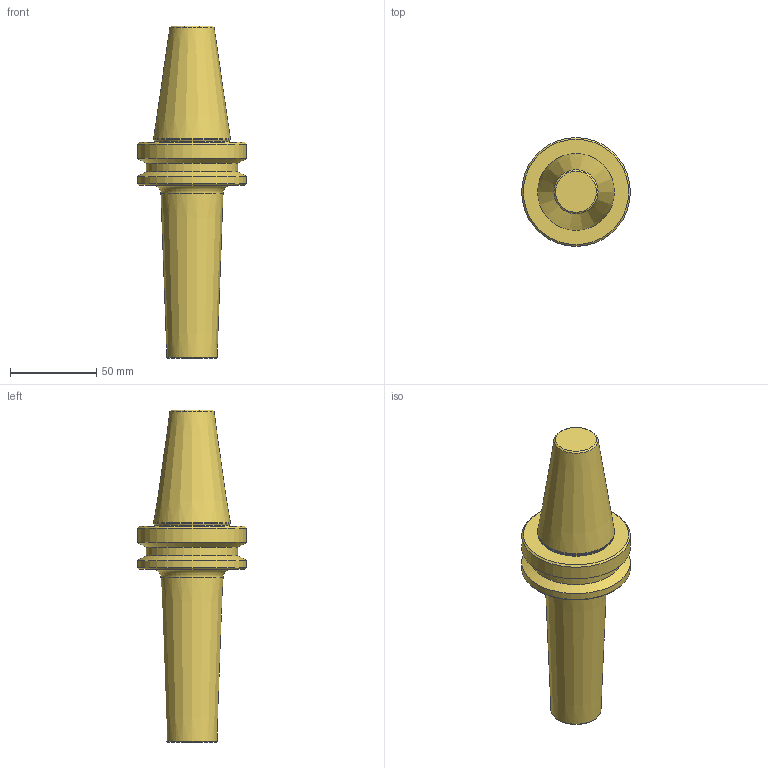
import cadquery as cq
import math


gauge_diameter = 44.45
taper_length = 65.4
taper_ratio = 7 / 24
taper_end_chamfer = 0.8

undercut_depth = 0.4
undercut_slope_height = 0.8
gauge_land_height = 0.6

flange_diameter = 63.0
flange_top_z = -2.0
flange_bottom_z = -27.0
flange_chamfer = 1.0
groove_center_z = -16.6
groove_floor_diameter = 53.0
groove_floor_width = 4.7
groove_wall_angle = 30.0

shank_bottom_z = -127.0
shank_top_diameter = 36.0
shank_bottom_diameter = 29.0
shank_fillet_radius = 4.6
shank_end_chamfer = 0.5


def revolve_profile(profile):
    """Revolve a closed profile drawn in the XZ plane about the Z axis."""
    return profile.close().revolve(360, (0, 0, 0), (0, 1, 0))


def make_taper():
    """Spindle taper, chamfered at its small end, with a land and undercut neck below."""
    gauge_radius = gauge_diameter / 2
    neck_radius = gauge_radius - undercut_depth
    end_radius = gauge_radius - taper_length * taper_ratio / 2
    profile = (
        cq.Workplane("XZ")
        .moveTo(0, flange_top_z)
        .lineTo(neck_radius, flange_top_z)
        .lineTo(neck_radius, -gauge_land_height - undercut_slope_height)
        .lineTo(gauge_radius, -gauge_land_height)
        .lineTo(gauge_radius, 0)
        .lineTo(end_radius, taper_length)
        .lineTo(0, taper_length)
    )
    return revolve_profile(profile).faces(">Z").chamfer(taper_end_chamfer)


def make_flange():
    """Flange disc with chamfered rims and the V groove."""
    height = flange_top_z - flange_bottom_z
    disc = (
        cq.Workplane("XY", origin=(0, 0, flange_bottom_z))
        .circle(flange_diameter / 2)
        .extrude(height)
        .edges()
        .chamfer(flange_chamfer)
    )
    rim_radius = flange_diameter / 2
    floor_radius = groove_floor_diameter / 2
    floor_half = groove_floor_width / 2
    groove_depth = rim_radius - floor_radius
    mouth_half = floor_half + groove_depth * math.tan(math.radians(groove_wall_angle))
    groove = (
        cq.Workplane("XZ")
        .moveTo(floor_radius, groove_center_z - floor_half)
        .lineTo(rim_radius, groove_center_z - mouth_half)
        .lineTo(rim_radius, groove_center_z + mouth_half)
        .lineTo(floor_radius, groove_center_z + floor_half)
    )
    return disc.cut(revolve_profile(groove))


def make_shank():
    """Tapered shank with a concave flare into the flange and a chamfered end."""
    top_radius = shank_top_diameter / 2
    bottom_radius = shank_bottom_diameter / 2
    flare_bottom_z = flange_bottom_z - shank_fillet_radius
    flare_center_x = top_radius + shank_fillet_radius
    arc_offset = shank_fillet_radius * math.sqrt(0.5)
    profile = (
        cq.Workplane("XZ")
        .moveTo(0, shank_bottom_z)
        .lineTo(bottom_radius, shank_bottom_z)
        .lineTo(top_radius, flare_bottom_z)
        .threePointArc(
            (flare_center_x - arc_offset, flare_bottom_z + arc_offset),
            (flare_center_x, flange_bottom_z),
        )
        .lineTo(0, flange_bottom_z)
    )
    return revolve_profile(profile).faces("<Z").chamfer(shank_end_chamfer)


result = make_flange().union(make_taper()).union(make_shank())